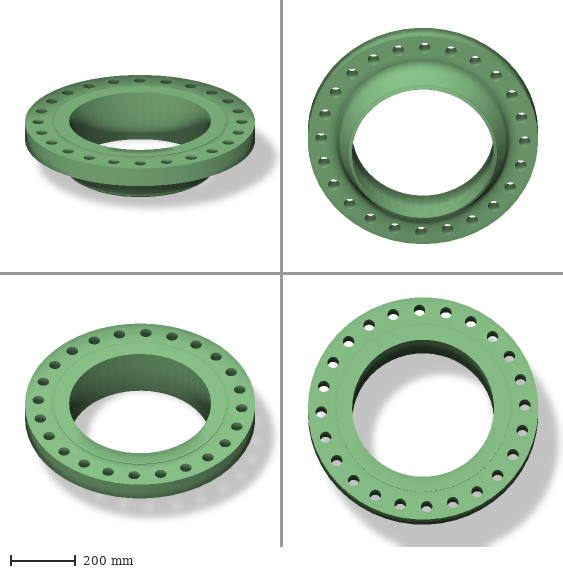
import cadquery as cq

flange_diameter = 711.0
total_height = 158.5
bore_diameter = 438.0

flange_thickness = 60.0
raised_face_diameter = 533.5
raised_face_height = 2.0

hub_base_diameter = 530.0
hub_fillet_radius = 10.0
weld_end_diameter = 458.0
weld_end_length = 12.0
weld_bevel_height = 6.0
weld_bevel_width = 8.5

bolt_count = 24
bolt_circle_diameter = 629.0
bolt_hole_diameter = 35.5

flange_top = total_height - raised_face_height
flange_bottom = flange_top - flange_thickness

flange_radius = flange_diameter / 2
bore_radius = bore_diameter / 2
raised_face_radius = raised_face_diameter / 2
hub_base_radius = hub_base_diameter / 2
weld_end_radius = weld_end_diameter / 2


def ring_body():
    """Revolve the flange, hub and welding end as one ring around Z."""
    profile = (
        cq.Workplane("XZ")
        .moveTo(bore_radius, 0)
        .lineTo(weld_end_radius - weld_bevel_width, 0)
        .lineTo(weld_end_radius, weld_bevel_height)
        .lineTo(weld_end_radius, weld_end_length)
        .lineTo(hub_base_radius, flange_bottom)
        .lineTo(flange_radius, flange_bottom)
        .lineTo(flange_radius, flange_top)
        .lineTo(raised_face_radius, flange_top)
        .lineTo(raised_face_radius, total_height)
        .lineTo(bore_radius, total_height)
        .close()
    )
    ring = profile.revolve(360, (0, 0, 0), (0, 1, 0))
    corner_tolerance = 0.1
    hub_corner = cq.selectors.BoxSelector(
        (-hub_base_radius, -hub_base_radius, flange_bottom - corner_tolerance),
        (hub_base_radius, hub_base_radius, flange_bottom + corner_tolerance),
    )
    hub_edge = ring.edges(hub_corner).edges(cq.selectors.RadiusNthSelector(0))
    return hub_edge.fillet(hub_fillet_radius)


def bolt_holes():
    """Through holes spaced evenly on the bolt circle, the first on +X."""
    return (
        cq.Workplane("XY")
        .polarArray(bolt_circle_diameter / 2, 0, 360, bolt_count)
        .circle(bolt_hole_diameter / 2)
        .extrude(total_height)
    )


result = ring_body().cut(bolt_holes())